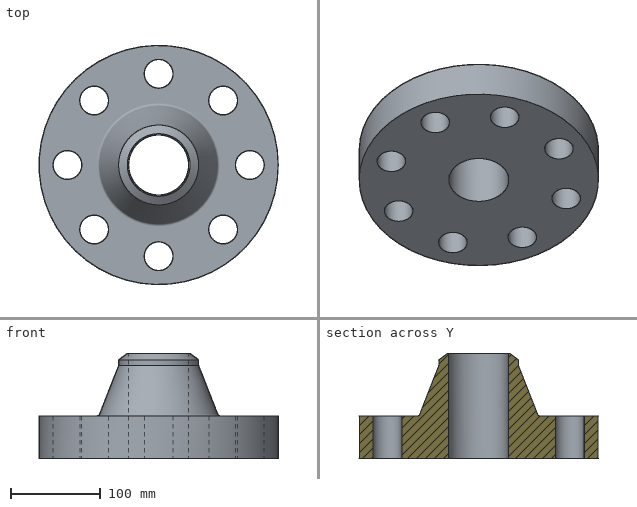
import cadquery as cq

flange_diameter = 266.5
flange_thickness = 47.7

bolt_count = 8
bolt_circle_diameter = 203.2
bolt_hole_diameter = 31.7

total_height = 117.3
bore_diameter = 66.7
hub_base_diameter = 133.3
base_fillet_radius = 3.0
neck_diameter = 89.0
neck_length = 6.0
bevel_height = 7.2
weld_face_width = 1.5

weld_face_diameter = bore_diameter + 2 * weld_face_width
bevel_start = total_height - bevel_height
neck_start = bevel_start - neck_length


def make_body():
    """Plate, hub and weld end as one solid of revolution about Z."""
    return (
        cq.Workplane("XZ")
        .lineTo(flange_diameter / 2, 0)
        .lineTo(flange_diameter / 2, flange_thickness)
        .lineTo(hub_base_diameter / 2, flange_thickness)
        .lineTo(neck_diameter / 2, neck_start)
        .lineTo(neck_diameter / 2, bevel_start)
        .lineTo(weld_face_diameter / 2, total_height)
        .lineTo(0, total_height)
        .close()
        .revolve()
    )


def fillet_hub_base(body):
    """Round the inner corner where the hub meets the plate."""
    hub_base_circle = cq.selectors.RadiusNthSelector(-2)
    return body.edges(hub_base_circle).fillet(base_fillet_radius)


def cut_bore(body):
    """Drill the central bore through the full height."""
    return body.faces(">Z").workplane().hole(bore_diameter)


def cut_bolt_holes(body):
    """Drill the ring of bolt holes through the plate, the first one on +X."""
    return (
        body.faces("<Z")
        .workplane(origin=(0, 0, 0))
        .polarArray(bolt_circle_diameter / 2, 0, 360, bolt_count)
        .hole(bolt_hole_diameter)
    )


body = make_body()
body = fillet_hub_base(body)
body = cut_bore(body)
result = cut_bolt_holes(body)